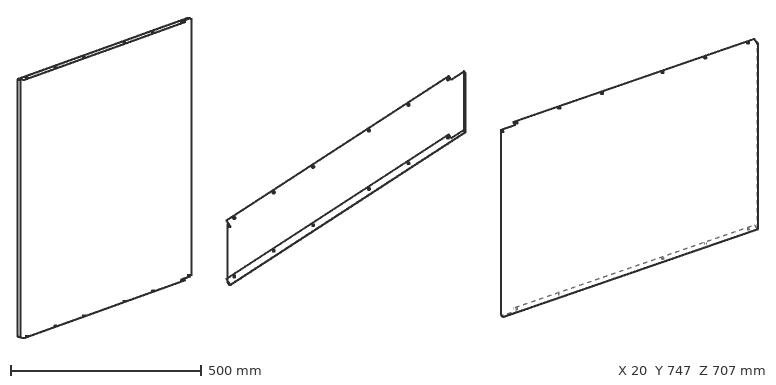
import cadquery as cq

width = 747.0
height = 707.0
depth = 20.0
sheet = 1.0
bend_radius = 2.0
inner_bend_radius = bend_radius - sheet
corner_relief = 3.0

side_flange_depth = 10.5
notch_floor = 8.0
notch_length = 41.0

hole_diameter = 6.0
hole_x = 14.0
hole_pitch = 125.0
holes_per_group = 3
group_first_hole_y = (-349.5, 76.0)


def box_between(x_range, y_range, z_range):
    """Box given by its lower and upper limit along each axis."""
    limits = (x_range, y_range, z_range)
    sizes = [high - low for low, high in limits]
    corner = [low for low, high in limits]
    return cq.Workplane("XY").box(*sizes, centered=False).translate(tuple(corner))


def folded_tray():
    """Thin skin with a rounded bend to a flange along each of its four edges."""
    outer = cq.Workplane("YZ").rect(width, height).extrude(depth)
    outer = outer.faces("<X").edges().fillet(bend_radius)
    inner = (
        cq.Workplane("YZ", origin=(sheet, 0, 0))
        .rect(width - 2 * sheet, height - 2 * sheet)
        .extrude(depth)
        .faces("<X")
        .edges()
        .fillet(inner_bend_radius)
    )
    return outer.cut(inner)


def trim_corners(body):
    """Separate neighbouring flanges by a small square relief at each corner."""
    reliefs = (
        cq.Workplane("YZ")
        .rect(width - corner_relief, height - corner_relief, forConstruction=True)
        .vertices()
        .rect(corner_relief, corner_relief)
        .extrude(depth)
    )
    return body.cut(reliefs)


def shorten_side_flanges(body):
    """Cut the two side flanges down to less than the full panel depth."""
    for low_y in (-width / 2, width / 2 - corner_relief):
        body = body.cut(
            box_between(
                (side_flange_depth, depth),
                (low_y, low_y + corner_relief),
                (-height / 2, height / 2),
            )
        )
    return body


def notch_flanges(body):
    """Narrow the +Y end of the top and bottom flanges."""
    notch_end = width / 2 - corner_relief
    return body.cut(
        box_between(
            (notch_floor, depth),
            (width / 2 - notch_length, notch_end),
            (-height / 2, height / 2),
        )
    )


def drill_flanges(body):
    """Drill two groups of evenly spaced holes through both flanges."""
    centres = [
        (hole_x, first_y + index * hole_pitch)
        for first_y in group_first_hole_y
        for index in range(holes_per_group)
    ]
    drills = (
        cq.Workplane("XY", origin=(0, 0, -height / 2))
        .pushPoints(centres)
        .circle(hole_diameter / 2)
        .extrude(height)
    )
    return body.cut(drills)


panel = folded_tray()
panel = trim_corners(panel)
panel = shorten_side_flanges(panel)
panel = notch_flanges(panel)
panel = drill_flanges(panel)
result = panel.translate((-depth / 2, 0, 0))